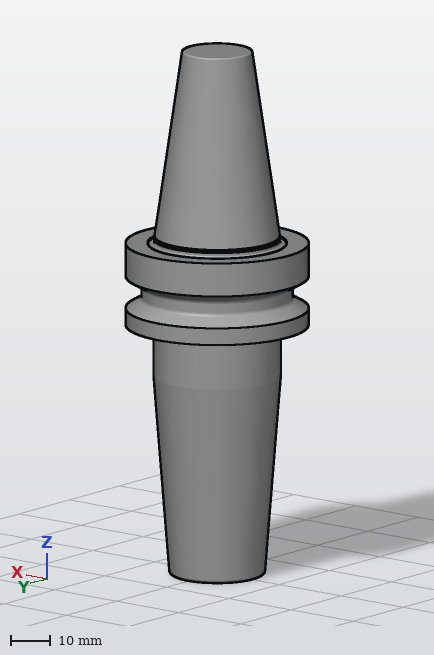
import cadquery as cq
import math


overall_length = 134.4

gauge_radius = 31.75 / 2
taper_length = 48.4
taper_slope = 7 / 48
taper_foot_z = 0.8
taper_tip_fillet = 0.5

neck_radius = 15.8
neck_top_z = 0.0
neck_groove_radius = 15.55
neck_foot_fillet = 0.5

flange_radius = 46 / 2
flange_top_z = -1.0
flange_bottom_z = -22.0
groove_centre_z = -13.6
groove_width = 8.2
groove_floor_radius = 19.0
groove_wall_angle = 30
groove_root_fillet = 1.0

recess_radius = 17.5
recess_depth = 0.2

nose_radius = 32 / 2
nose_root_fillet = 1.0
nose_cone_angle = 4.5
nose_tip_radius = 24 / 2
nose_bottom_z = taper_length - overall_length
nose_tip_fillet = 1.0


def revolve_about_z(profile):
    return profile.close().revolve(360, (0, 0, 0), (0, 1, 0))


def taper_radius(z):
    return gauge_radius - taper_slope * z


def make_taper_and_neck():
    recess_floor_z = flange_top_z - recess_depth
    fillet_top_z = recess_floor_z + neck_foot_fillet
    arc_offset = neck_foot_fillet * (1 - math.sqrt(0.5))
    profile = (
        cq.Workplane("XZ")
        .moveTo(0, recess_floor_z)
        .lineTo(neck_radius + neck_foot_fillet, recess_floor_z)
        .threePointArc(
            (neck_radius + arc_offset, recess_floor_z + arc_offset),
            (neck_radius, fillet_top_z),
        )
        .lineTo(neck_radius, neck_top_z)
        .lineTo(neck_groove_radius, (neck_top_z + taper_foot_z) / 2)
        .lineTo(taper_radius(taper_foot_z), taper_foot_z)
        .lineTo(taper_radius(taper_length), taper_length)
        .lineTo(0, taper_length)
    )
    return revolve_about_z(profile).faces(">Z").edges().fillet(taper_tip_fillet)


def make_flange():
    flange_height = flange_top_z - flange_bottom_z
    return cq.Workplane("XY", origin=(0, 0, flange_bottom_z)).circle(flange_radius).extrude(flange_height)


def make_gripper_groove():
    wall_slope = math.tan(math.radians(groove_wall_angle))
    overcut = 1.0
    outer_radius = flange_radius + overcut
    outer_half_width = groove_width / 2 + overcut * wall_slope
    floor_half_width = groove_width / 2 - (flange_radius - groove_floor_radius) * wall_slope
    profile = (
        cq.Workplane("XZ")
        .moveTo(0, groove_centre_z - outer_half_width)
        .lineTo(outer_radius, groove_centre_z - outer_half_width)
        .lineTo(groove_floor_radius, groove_centre_z - floor_half_width)
        .lineTo(groove_floor_radius, groove_centre_z + floor_half_width)
        .lineTo(outer_radius, groove_centre_z + outer_half_width)
        .lineTo(0, groove_centre_z + outer_half_width)
    )
    core = revolve_about_z(profile)
    floor_edges = cq.selectors.RadiusNthSelector(0)
    core = core.edges("%CIRCLE").edges(floor_edges).fillet(groove_root_fillet)
    blank = (
        cq.Workplane("XY", origin=(0, 0, groove_centre_z))
        .cylinder(2 * outer_half_width, outer_radius)
    )
    return blank.cut(core)


def make_flange_recess():
    floor_z = flange_top_z - recess_depth
    profile = (
        cq.Workplane("XZ")
        .moveTo(0, floor_z)
        .lineTo(recess_radius - recess_depth, floor_z)
        .lineTo(recess_radius, flange_top_z)
        .lineTo(0, flange_top_z)
    )
    return revolve_about_z(profile)


def make_nose():
    root_fillet_bottom_z = flange_bottom_z - nose_root_fillet
    root_arc_offset = nose_root_fillet * (1 - math.sqrt(0.5))
    cone_height = (nose_radius - nose_tip_radius) / math.tan(math.radians(nose_cone_angle))
    profile = (
        cq.Workplane("XZ")
        .moveTo(0, nose_bottom_z)
        .lineTo(nose_tip_radius, nose_bottom_z)
        .lineTo(nose_radius, nose_bottom_z + cone_height)
        .lineTo(nose_radius, root_fillet_bottom_z)
        .threePointArc(
            (nose_radius + root_arc_offset, flange_bottom_z - root_arc_offset),
            (nose_radius + nose_root_fillet, flange_bottom_z),
        )
        .lineTo(0, flange_bottom_z)
    )
    return revolve_about_z(profile).faces("<Z").edges().fillet(nose_tip_fillet)


flange = make_flange().cut(make_gripper_groove()).cut(make_flange_recess())
result = flange.union(make_taper_and_neck()).union(make_nose())